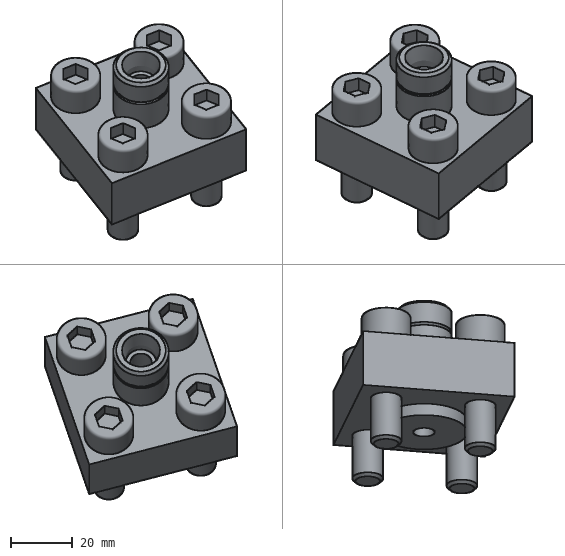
import cadquery as cq
import math

total_height = 55
plate_size = 50.0
plate_thickness = 19.0
plate_bottom = 16.0
plate_top = plate_bottom + plate_thickness

bolt_spacing = 31.1
shank_diameter = 10.0
shank_chamfer = 1.0
head_diameter = 16.0
head_height = 10.0
head_fillet = 1.0
hex_across_flats = 8.0
hex_depth = 5.0

tube_radius = 18.0 / 2
rim_chamfer = 1.0
groove_radius = 16.3 / 2
groove_bottom = 46.0
groove_height = 1.05

spigot_diameter = 28.0
spigot_height = 4.0
spigot_bottom = plate_bottom - spigot_height

bore_diameter = 7.0
counterbore_diameter = 10.0
counterbore_depth = 8.0
cone_top_diameter = 12.3
cone_half_angle = 12
cone_depth = (cone_top_diameter - counterbore_diameter) / 2 / math.tan(math.radians(cone_half_angle))


def revolve_profile(points):
    """Revolve (radius, height) points about the Z axis."""
    return cq.Workplane("XZ").polyline(points).close().revolve(360, (0, 0, 0), (0, 1, 0))


def make_plate():
    plate = cq.Workplane("XY").box(plate_size, plate_size, plate_thickness, centered=(True, True, False))
    return plate.translate((0, 0, plate_bottom))


def make_bolt():
    """Bolt on the Z axis with its tip at the origin."""
    shank = cq.Workplane("XY").circle(shank_diameter / 2).extrude(plate_top)
    shank = shank.faces("<Z").edges().chamfer(shank_chamfer)
    head = cq.Workplane("XY").workplane(offset=plate_top).circle(head_diameter / 2).extrude(head_height)
    head = head.faces(">Z").edges().fillet(head_fillet)
    hex_corner_diameter = hex_across_flats / math.cos(math.radians(30))
    socket = (
        cq.Workplane("XY")
        .workplane(offset=plate_top + head_height - hex_depth)
        .transformed(rotate=(0, 0, 90))
        .polygon(6, hex_corner_diameter)
        .extrude(hex_depth)
    )
    return shank.union(head).cut(socket)


def make_tube():
    return revolve_profile([
        (0, plate_top),
        (tube_radius, plate_top),
        (tube_radius, groove_bottom),
        (groove_radius, groove_bottom),
        (tube_radius, groove_bottom + groove_height),
        (tube_radius, total_height - rim_chamfer),
        (tube_radius - rim_chamfer, total_height),
        (0, total_height),
    ])


def make_spigot():
    return cq.Workplane("XY").workplane(offset=spigot_bottom).circle(spigot_diameter / 2).extrude(spigot_height)


def make_bore():
    counterbore_floor = total_height - counterbore_depth
    return revolve_profile([
        (0, spigot_bottom),
        (bore_diameter / 2, spigot_bottom),
        (bore_diameter / 2, counterbore_floor),
        (counterbore_diameter / 2, counterbore_floor),
        (counterbore_diameter / 2, total_height - cone_depth),
        (cone_top_diameter / 2, total_height),
        (0, total_height),
    ])


result = make_plate().union(make_tube()).union(make_spigot()).cut(make_bore())
for x_side in (-1, 1):
    for y_side in (-1, 1):
        bolt_position = (x_side * bolt_spacing / 2, y_side * bolt_spacing / 2, 0)
        result = result.union(make_bolt().translate(bolt_position))